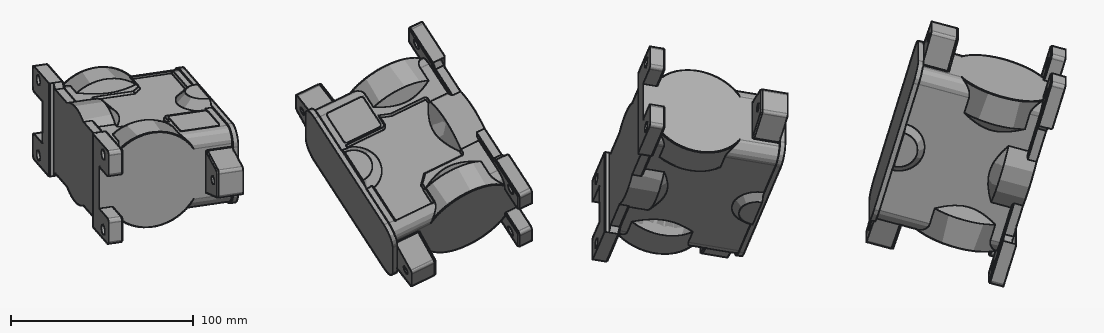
import cadquery as cq
total_depth = 80.0

body_half_x = 46.2
body_half_z = 22.7
body_corner = 7.6
body_front = 2.6

rim_half_x = 48.5
rim_half_z = 23.5
rim_corner = 9.8
rim_start = 77.0

boss_radius = 28.5
boss_cone_length = 8.4
side_boss_length = 17.0
side_boss_y = body_front + boss_radius
front_boss_length = 17.1
boss_edge = 0.4
cone_angle = 45.0

rim_boss_height = 26.5
rim_boss_top_radius = 10.1
rim_boss_base_z = 19.4

foot_depth = 8.4
plate_half_z = 25.1
plate_half_x = 32.4
foot_half_x = 61.8
foot_half_z = 28.0
foot_inner_x = 35.2
foot_notch_half_z = 12.5
foot_corner = 2.1
foot_edge = 0.6
foot_back_edge = 0.8
foot_hole = 5.7
foot_hole_x = 52.7
foot_hole_z = 22.5

ear_half_x = 64.8
ear_start = 61.9
ear_root_half_z = 12.7
ear_tip_half_z = 8.0
ear_corner = 2.0
ear_root_edge = 0.4
ear_edge_depth = 1.0
ear_edge_width = 0.4
ear_hole = 4.7
ear_hole_x = 57.8

recess_depth = 1.3
recess_taper = 35.0
recess_corner = 1.5
recess_label_corner = 2.1
recess_left = -39.2
recess_top = 73.4
recess_half_x = 21.1
recess_bottom = 19.7
recess_shoulder_y = 48.7
recess_step_x = -26.2
recess_left_step_y = 44.0
recess_right_step_y = 42.0
recess_tooth_x = 23.6
recess_label_x = 15.7

label_width = 21.8
label_height = 23.0
label_x = 27.5
label_y = 61.6
label_corner = 1.7
label_step = 0.3


def rounded_block(half_x, half_z, corner, y_start, y_end):
    """Block along Y with rounded long edges."""
    return (
        cq.Workplane("XZ", origin=(0, y_start, 0))
        .rect(2 * half_x, 2 * half_z)
        .extrude(y_start - y_end)
        .edges("|Y")
        .fillet(corner)
    )


def boss(start, direction, length):
    """Cylinder running inward from its outer face, closed by a 45 degree cone."""
    start = cq.Vector(*start)
    direction = cq.Vector(*direction)
    cylinder = cq.Workplane(obj=cq.Solid.makeCylinder(boss_radius, length, start, direction))
    cone = cq.Solid.makeCone(
        boss_radius,
        boss_radius - boss_cone_length,
        boss_cone_length,
        start + direction * length,
        direction,
    )
    return cylinder.union(cq.Workplane(obj=cone))


def recess():
    """Pocket in the +Z face, tapered except on its -X side, stepping around the label."""
    beyond_left = recess_left - recess_depth
    outline = [
        (beyond_left, recess_top),
        (beyond_left, recess_shoulder_y),
        (recess_step_x, recess_shoulder_y),
        (-recess_half_x, recess_left_step_y),
        (-recess_half_x, recess_bottom),
        (recess_half_x, recess_bottom),
        (recess_half_x, recess_right_step_y),
        (recess_tooth_x, recess_shoulder_y),
        (recess_label_x, recess_shoulder_y),
        (recess_label_x, recess_top),
    ]
    label_corner = cq.selectors.NearestToPointSelector(
        (recess_label_x, recess_shoulder_y, body_half_z)
    )
    rounded_outline = (
        cq.Workplane("XY", origin=(0, 0, body_half_z))
        .polyline(outline)
        .close()
        .extrude(recess_depth)
        .edges("|Z")
        .edges(label_corner)
        .fillet(recess_label_corner)
        .edges("|Z")
        .edges("<Y")
        .fillet(recess_corner)
        .faces("<Z")
        .wires()
        .val()
    )
    tapered = (
        cq.Workplane("XY", origin=(0, 0, body_half_z))
        .add(rounded_outline)
        .toPending()
        .extrude(-recess_depth, taper=recess_taper)
    )
    left_trim = (
        cq.Workplane("XY", origin=(recess_left, 0, 0))
        .rect(2 * recess_depth, 2 * total_depth)
        .extrude(body_half_z)
        .translate((-recess_depth, 0, 0))
    )
    return tapered.cut(left_trim)


def rim_boss():
    """45 degree cone standing on the +Z face, cut in half by the rim."""
    height = rim_boss_height - rim_boss_base_z
    base_radius = rim_boss_top_radius + height
    cone = (
        cq.Workplane("XY", origin=(0, rim_start, rim_boss_base_z))
        .circle(base_radius)
        .extrude(height, taper=cone_angle)
    )
    behind_rim = (
        cq.Workplane("XY", origin=(0, rim_start, rim_boss_base_z))
        .rect(2 * base_radius, 2 * base_radius)
        .extrude(height)
        .translate((0, base_radius, 0))
    )
    return cone.cut(behind_rim)


def front_plate():
    """Plate across the front, with ends sloping up to the height of the feet."""
    upper_edge = [
        (foot_inner_x, foot_half_z),
        (plate_half_x, plate_half_z),
        (-plate_half_x, plate_half_z),
        (-foot_inner_x, foot_half_z),
    ]
    lower_edge = [(-x, -z) for x, z in upper_edge]
    return (
        cq.Workplane("XZ", origin=(0, body_front, 0))
        .polyline(upper_edge + lower_edge)
        .close()
        .extrude(body_front - foot_depth)
        .faces(">Y")
        .edges("not |Z")
        .chamfer(foot_back_edge)
    )


def foot():
    """C-shaped foot on the +X side with two screw holes."""
    upper_half = [
        (body_half_x, foot_notch_half_z),
        (foot_half_x, foot_notch_half_z),
        (foot_half_x, foot_half_z),
        (foot_inner_x, foot_half_z),
    ]
    lower_half = [(x, -z) for x, z in reversed(upper_half)]
    plate = (
        cq.Workplane("XZ")
        .polyline(upper_half + lower_half)
        .close()
        .extrude(-foot_depth)
        .edges("|Y and >X")
        .fillet(foot_corner)
        .edges("|Z and <X and <Y")
        .chamfer(foot_edge)
        .faces(">Y")
        .edges("not <X")
        .chamfer(foot_back_edge)
    )
    holes = (
        cq.Workplane("XZ")
        .pushPoints([(foot_hole_x, foot_hole_z), (foot_hole_x, -foot_hole_z)])
        .circle(foot_hole / 2)
        .extrude(-foot_depth)
    )
    return plate.cut(holes)


def ear():
    """Tapered ear on the +X side with one screw hole."""
    outline = [
        (body_half_x - body_corner, -ear_root_half_z - ear_root_edge),
        (body_half_x, -ear_root_half_z - ear_root_edge),
        (body_half_x + ear_root_edge, -ear_root_half_z),
        (ear_half_x, -ear_tip_half_z),
        (ear_half_x, ear_tip_half_z),
        (body_half_x + ear_root_edge, ear_root_half_z),
        (body_half_x, ear_root_half_z + ear_root_edge),
        (body_half_x - body_corner, ear_root_half_z + ear_root_edge),
    ]
    wedge = (
        cq.Workplane("XZ", origin=(0, ear_start, 0))
        .polyline(outline)
        .close()
        .extrude(ear_start - rim_start)
        .edges("|Y and >X")
        .fillet(ear_corner)
        .faces("<Y")
        .edges("not <X")
        .chamfer(ear_edge_width, ear_edge_depth)
    )
    hole = (
        cq.Workplane("XZ", origin=(ear_hole_x, ear_start, 0))
        .circle(ear_hole / 2)
        .extrude(ear_start - rim_start)
    )
    return wedge.cut(hole)


def both_sides(shape, plane):
    """The shape together with its mirror image."""
    return shape.union(shape.mirror(plane))


result = rounded_block(body_half_x, body_half_z, body_corner, body_front, rim_start)
result = result.cut(recess())

result = result.union(rounded_block(rim_half_x, rim_half_z, rim_corner, rim_start, total_depth))
result = result.union(both_sides(rim_boss(), "XY"))

side_boss = boss((body_half_x, side_boss_y, 0), (-1, 0, 0), side_boss_length)
side_boss = side_boss.faces(">X").edges().chamfer(boss_edge)
front_boss = boss((0, body_front, 0), (0, 1, 0), front_boss_length)
result = result.union(both_sides(side_boss, "YZ")).union(front_boss)

result = result.union(front_plate())
result = result.union(both_sides(foot(), "YZ"))
result = result.union(both_sides(ear(), "YZ"))

label = (
    cq.Workplane("XY", origin=(label_x, label_y, body_half_z - recess_depth))
    .rect(label_width, label_height)
    .extrude(recess_depth + label_step)
    .edges("|Z")
    .fillet(label_corner)
)
result = result.union(label)